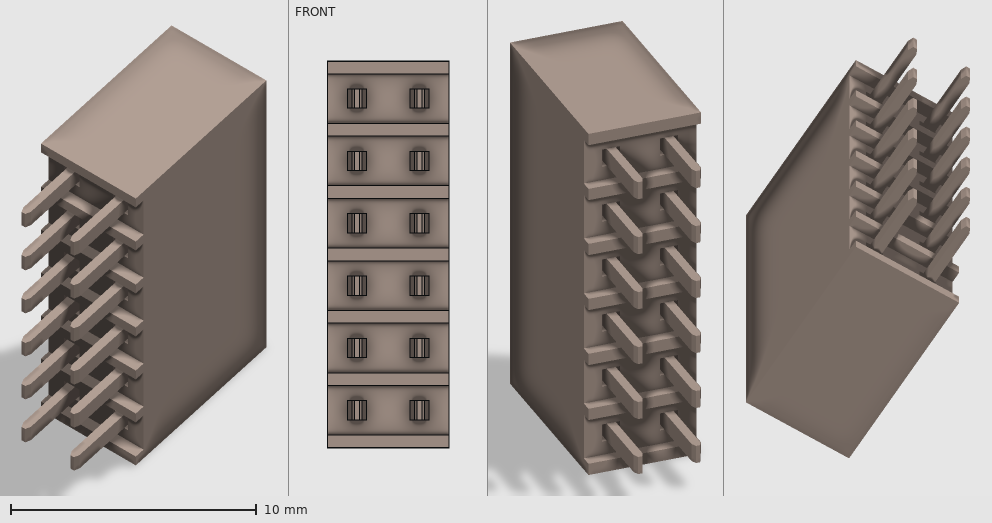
import cadquery as cq

width = 4.95
length = 11.15
height = 15.75

housing_length = 8.5
standoff_length = 0.5
standoff_thickness = 0.52

rows = 6
columns = 2
pitch = (height - standoff_thickness) / rows

socket_size = 0.79
socket_depth = 0.47

pin_height = socket_size
pin_width = 0.4
tip_length = 0.24
tip_width = 0.19

back_y = length / 2
tip_y = -length / 2
standoff_y = back_y - housing_length
seat_y = standoff_y + standoff_length
socket_floor_y = seat_y + socket_depth


def box_between(size_x, size_z, y_start, y_end):
    """Box centred on X and Z, spanning the given Y range."""
    middle_y = (y_start + y_end) / 2
    return cq.Workplane("XY").box(size_x, y_end - y_start, size_z).translate((0, middle_y, 0))


def make_housing():
    """Block with full-width standoff ribs between and outside the contact rows."""
    housing = box_between(width, height, seat_y, back_y)
    rib = box_between(width, standoff_thickness, standoff_y, seat_y)
    for index in range(rows + 1):
        housing = housing.union(rib.translate((0, 0, (index - rows / 2) * pitch)))
    return housing


def make_pin():
    """Flat pin whose tip tapers in width only."""
    shoulder_y = tip_y + tip_length
    outline = [
        (-pin_width / 2, socket_floor_y),
        (-pin_width / 2, shoulder_y),
        (-tip_width / 2, tip_y),
        (tip_width / 2, tip_y),
        (pin_width / 2, shoulder_y),
        (pin_width / 2, socket_floor_y),
    ]
    return cq.Workplane("XY").polyline(outline).close().extrude(pin_height / 2, both=True)


result = make_housing()
socket = box_between(socket_size, socket_size, seat_y, socket_floor_y)
pin = make_pin()
for column in range(columns):
    for row in range(rows):
        x = (column - (columns - 1) / 2) * pitch
        z = (row - (rows - 1) / 2) * pitch
        result = result.cut(socket.translate((x, 0, z)))
        result = result.union(pin.translate((x, 0, z)))